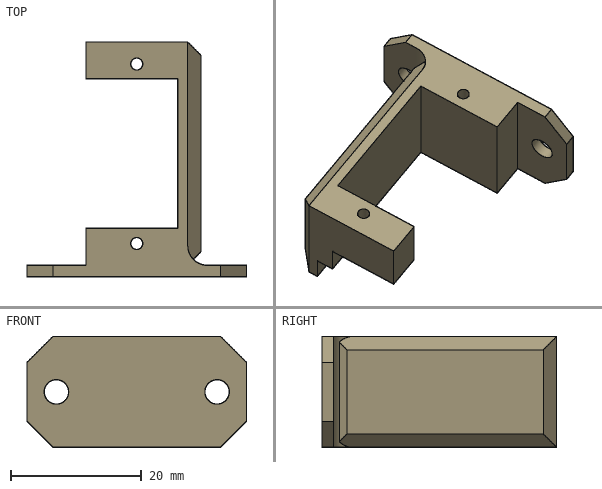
import cadquery as cq

plate_width = 33.7
height = 17.0
plate_thickness = 1.8
corner_cut = 4.0
mount_hole_diameter = 3.7
mount_hole_offset = 12.3

length = 36.0
bracket_width = 15.62
wall_thickness = 1.55
arm_depth = 5.65
bracket_fillet = 3.0
rib_depth = 2.05

pin_hole_diameter = 1.8
near_pin_y = 5.1
far_pin_y = 32.6

arm_underside = height / 2
step_underside = 4.0
step_width = 2.8

bracket_left = -bracket_width / 2
bracket_right = bracket_width / 2
wall_inner = bracket_right - wall_thickness
near_arm_end = plate_thickness + arm_depth
far_arm_start = length - arm_depth


def block(x_start, x_end, y_start, y_end, z_start, z_end):
    """Box spanning the given limits along each axis."""
    return (
        cq.Workplane("XY")
        .box(x_end - x_start, y_end - y_start, z_end - z_start, centered=False)
        .translate((x_start, y_start, z_start))
    )


def mounting_plate():
    """Octagonal plate at the foot of the bracket."""
    plate = block(-plate_width / 2, plate_width / 2, 0, plate_thickness, 0, height)
    return plate.edges("|Y").chamfer(corner_cut)


def bracket():
    """Wall with a full near arm and a far arm stepped on its underside."""
    body = block(bracket_left, bracket_right, 0, length, 0, height)
    opening = block(bracket_left, wall_inner, near_arm_end, far_arm_start, 0, height)
    step_edge = wall_inner - step_width
    arm_relief = block(bracket_left, step_edge, far_arm_start, length, 0, arm_underside)
    step_relief = block(step_edge, wall_inner, far_arm_start, length, 0, step_underside)
    return body.cut(opening).cut(arm_relief).cut(step_relief)


def wall_rib():
    """Thickening on the wall's back, bevelled along all four outer edges."""
    rib = block(wall_inner, bracket_right + rib_depth, plate_thickness, length, 0, height)
    return rib.faces(">X").chamfer(rib_depth)


def root_fillet():
    """Concave fillet between the wall's back and the plate."""
    corner = block(
        bracket_right, bracket_right + bracket_fillet,
        plate_thickness, plate_thickness + bracket_fillet, 0, height,
    )
    round_cut = (
        cq.Workplane("XY")
        .center(bracket_right + bracket_fillet, plate_thickness + bracket_fillet)
        .circle(bracket_fillet)
        .extrude(height)
    )
    return corner.cut(round_cut)


mount_holes = (
    cq.Workplane("XZ")
    .pushPoints([(-mount_hole_offset, height / 2), (mount_hole_offset, height / 2)])
    .circle(mount_hole_diameter / 2)
    .extrude(-length)
)

pin_holes = (
    cq.Workplane("XY")
    .pushPoints([(0, near_pin_y), (0, far_pin_y)])
    .circle(pin_hole_diameter / 2)
    .extrude(height)
)

result = (
    mounting_plate()
    .union(bracket())
    .union(wall_rib())
    .union(root_fillet())
    .cut(mount_holes)
    .cut(pin_holes)
)